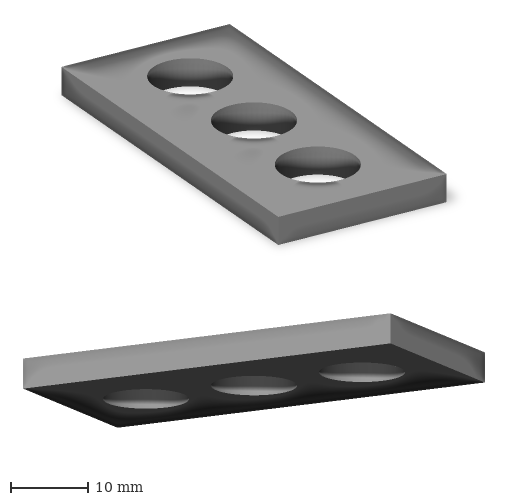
import cadquery as cq

length = 54.0
width = 25.4
thickness = 4.0

hole_diameter = 11.1
hole_pitch = 15.85
hole_count = 3

plate = cq.Workplane("XY").box(length, width, thickness)

result = (
    plate.faces(">Z")
    .workplane()
    .rarray(hole_pitch, width, hole_count, 1)
    .hole(hole_diameter)
)